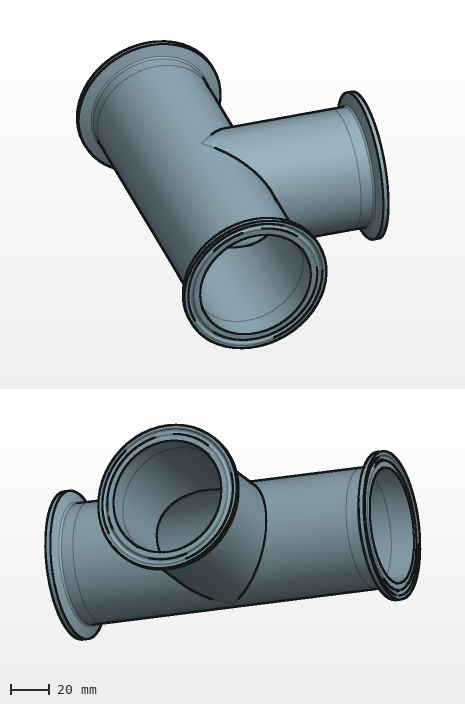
import cadquery as cq
import math

run_length = 177.8
overall_depth = 127.7
flange_diameter = 77.3
tube_diameter = 63.5
bore_diameter = 60.3

ferrule_length = 12.6
rim_thickness = 2.8
clamp_angle = 20.0
hub_fillet = 1.2
groove_diameter = 70.2
groove_width = 2.8
groove_depth = 1.2
groove_edge_fillet = 0.5

run_end = run_length / 2
branch_end = overall_depth - flange_diameter / 2
flange_radius = flange_diameter / 2
tube_radius = tube_diameter / 2
bore_radius = bore_diameter / 2
groove_inner_radius = (groove_diameter - groove_width) / 2
groove_outer_radius = (groove_diameter + groove_width) / 2
hub_start = rim_thickness + (flange_radius - tube_radius) * math.tan(math.radians(clamp_angle))


def make_ferrule():
    """Ferrule about the Z axis, with its sealing face at Z = 0 and its hub pointing down."""
    profile = (
        cq.Workplane("XZ")
        .moveTo(bore_radius, 0)
        .lineTo(groove_inner_radius, 0)
        .threePointArc((groove_diameter / 2, -groove_depth), (groove_outer_radius, 0))
        .lineTo(flange_radius, 0)
        .lineTo(flange_radius, -rim_thickness)
        .lineTo(tube_radius, -hub_start)
        .lineTo(tube_radius, -ferrule_length)
        .lineTo(bore_radius, -ferrule_length)
        .close()
    )
    body = profile.revolve(360, (0, 0, 0), (0, 1, 0))
    body = body.faces("%TORUS").edges(">Z").fillet(groove_edge_fillet)
    return body.faces("%CONE").edges("<Z").fillet(hub_fillet)


def tee(diameter):
    """Solid tee reaching from ferrule to ferrule: a straight run with a branch of equal diameter."""
    tube_run = run_length - 2 * ferrule_length
    run = cq.Workplane("YZ").circle(diameter / 2).extrude(tube_run / 2, both=True)
    branch = cq.Workplane("XZ").circle(diameter / 2).extrude(-(branch_end - ferrule_length))
    return run.union(branch)


tube_ends = [
    cq.Plane(origin=(-run_end, 0, 0), xDir=(0, 0, 1), normal=(-1, 0, 0)),
    cq.Plane(origin=(run_end, 0, 0), xDir=(0, 0, 1), normal=(1, 0, 0)),
    cq.Plane(origin=(0, branch_end, 0), xDir=(0, 0, 1), normal=(0, 1, 0)),
]

ferrule = make_ferrule().val()
result = tee(tube_diameter).cut(tee(bore_diameter))
for tube_end in tube_ends:
    result = result.union(cq.Workplane(ferrule.moved(cq.Location(tube_end))), clean=False)